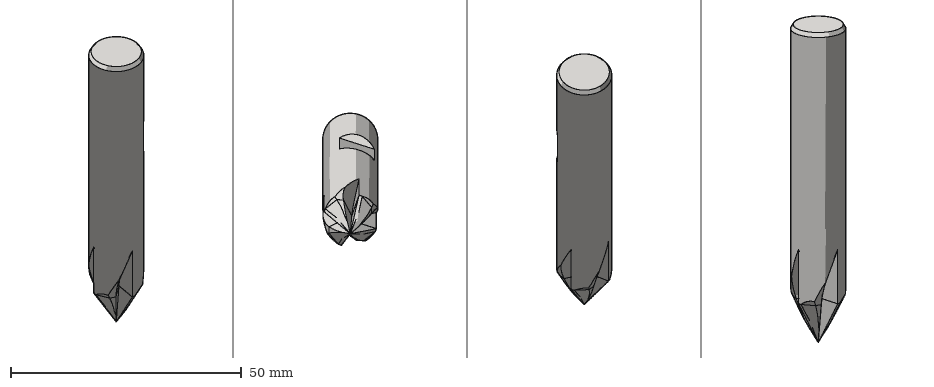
import cadquery as cq
import math

LENGTH = 73.0
RADIUS = 6.0
POINT_HALF_ANGLE = 30.0
SHANK_START_Z = 27.95
SEAM_ANGLE = -90.0
TOOTH_COUNT = 4

CHAMFER_HEIGHT = 0.95
CHAMFER_ANGLE = 30.0

FLAT_Y = 4.45
FLAT_LOW_Z = 46.35
FLAT_HIGH_Z = 54.7

FLUTE_TOP_Z = 22.8
FLOOR_SLOPE = 1.0
RAMP_Y = 1.4
RAMP_Z = 14.0
RAMP_BLEND = 2.9
HEEL_SLOPE = 0.3
HEEL_MIDDLE = (-4.75, 10.4)
HEEL_TOP = (-6.05, 15.55)

LAND_WIDTH = 0.7
RELIEF_ANGLE = 32.0

HALF_ANGLE_TAN = math.tan(math.radians(POINT_HALF_ANGLE))
CONE_HEIGHT = RADIUS / HALF_ANGLE_TAN
CHAMFER_WIDTH = CHAMFER_HEIGHT * math.tan(math.radians(CHAMFER_ANGLE))
TOOTH_ANGLE = 360.0 / TOOTH_COUNT
OUTSIDE = 2 * RADIUS
ORIGIN = (0, 0, 0)
Z_AXIS = (0, 0, 1)


def turned(shape, index):
    """Turn a shape about the tool axis to the given tooth position."""
    return shape.rotate(ORIGIN, Z_AXIS, index * TOOTH_ANGLE)


def flute_floor():
    """Straight floor from the tip, blended by an arc into the steeper ramp that runs out."""
    floor_length = math.hypot(RAMP_Y, RAMP_Z)
    ramp_length = math.hypot(RADIUS - RAMP_Y, FLUTE_TOP_Z - RAMP_Z)
    before = 1 - RAMP_BLEND / floor_length
    after = RAMP_BLEND / ramp_length
    blend_start = (-RAMP_Y * before, RAMP_Z * before)
    blend_end = (
        -RAMP_Y - (RADIUS - RAMP_Y) * after,
        RAMP_Z + (FLUTE_TOP_Z - RAMP_Z) * after,
    )
    slant = cq.Vector(-OUTSIDE, -FLOOR_SLOPE * OUTSIDE, 0)
    profile = (
        cq.Workplane("YZ")
        .lineTo(*blend_start)
        .tangentArcPoint(blend_end, relative=False)
        .lineTo(-RADIUS, FLUTE_TOP_Z)
        .lineTo(-OUTSIDE, FLUTE_TOP_Z)
        .lineTo(-OUTSIDE, 0)
        .close()
    )
    return cq.Workplane(cq.Solid.extrudeLinear(profile.val(), [], slant))


def flute_heel():
    """Arc-shaped heel surface, extruded at a slant so that it opens the flute."""
    profile = (
        cq.Workplane("YZ")
        .threePointArc(HEEL_MIDDLE, HEEL_TOP)
        .lineTo(-OUTSIDE, HEEL_TOP[1])
        .lineTo(-OUTSIDE, 0)
        .close()
    )
    slant = cq.Vector(-OUTSIDE, HEEL_SLOPE * OUTSIDE, 0)
    return cq.Workplane(cq.Solid.extrudeLinear(profile.val(), [], slant))


def relief_cutter():
    """Prism parallel to the cutting edge that leaves a narrow land beside it."""
    relief_slope = math.tan(math.radians(RELIEF_ANGLE))
    edge_y = -math.sqrt(RADIUS**2 - LAND_WIDTH**2)
    height = 2 * CONE_HEIGHT
    rise = (height - CONE_HEIGHT) * HALF_ANGLE_TAN
    start_y = edge_y - LAND_WIDTH * relief_slope - rise
    profile = (
        cq.Workplane("XY", origin=(0, 0, height))
        .moveTo(0, start_y)
        .lineTo(OUTSIDE, start_y + OUTSIDE * relief_slope)
        .lineTo(OUTSIDE, start_y - OUTSIDE)
        .lineTo(0, start_y - OUTSIDE)
        .close()
    )
    along_edge = cq.Vector(0, height * HALF_ANGLE_TAN, -height)
    return cq.Workplane(cq.Solid.extrudeLinear(profile.val(), [], along_edge))


def flat_cutter():
    """Clamping flat whose ends slope outwards at 45 degrees."""
    depth = OUTSIDE - FLAT_Y
    return (
        cq.Workplane("YZ")
        .moveTo(FLAT_Y, FLAT_LOW_Z)
        .lineTo(FLAT_Y, FLAT_HIGH_Z)
        .lineTo(OUTSIDE, FLAT_HIGH_Z + depth)
        .lineTo(OUTSIDE, FLAT_LOW_Z - depth)
        .close()
        .extrude(OUTSIDE, both=True)
    )


def make_tool_body(flute, relief):
    """Shank and fluted cylinder, down to the base of the cutting cone."""
    body = (
        cq.Workplane("XZ")
        .moveTo(0, CONE_HEIGHT)
        .lineTo(RADIUS, CONE_HEIGHT)
        .lineTo(RADIUS, SHANK_START_Z)
        .lineTo(RADIUS, LENGTH - CHAMFER_HEIGHT)
        .lineTo(RADIUS - CHAMFER_WIDTH, LENGTH)
        .lineTo(0, LENGTH)
        .close()
        .revolve(360, ORIGIN, (0, 1, 0), clean=False)
        .rotate(ORIGIN, Z_AXIS, SEAM_ANGLE)
        .cut(flat_cutter(), clean=False)
    )
    for index in range(TOOTH_COUNT):
        body = body.cut(turned(flute, index), clean=False)
        body = body.cut(turned(relief, index), clean=False)
    return body


def make_tooth(flute, relief):
    """Quarter of the cutting cone, with its cutting edge above -Y and its heel at +X."""
    quarter = (
        cq.Workplane("XZ")
        .lineTo(RADIUS, CONE_HEIGHT)
        .lineTo(0, CONE_HEIGHT)
        .close()
        .revolve(TOOTH_ANGLE, ORIGIN, (0, 1, 0))
    )
    centre = quarter.val().Center()
    sweep_middle = math.degrees(math.atan2(centre.y, centre.x))
    tooth = quarter.rotate(ORIGIN, Z_AXIS, -TOOTH_ANGLE / 2 - sweep_middle)
    return tooth.cut(turned(flute, 1)).cut(relief)


flute = flute_floor().union(flute_heel())
relief = relief_cutter()
tool_body = make_tool_body(flute, relief)
tooth = make_tooth(flute, relief)
teeth = [turned(tooth, index) for index in range(TOOTH_COUNT)]

result = cq.Compound.makeCompound([tool_body.val(), *[piece.val() for piece in teeth]])